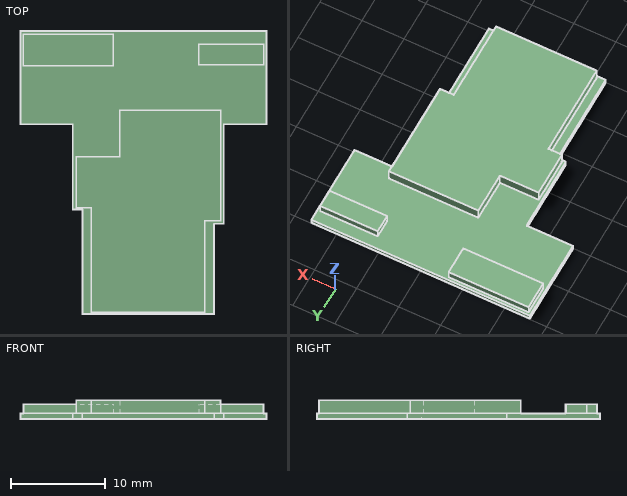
import cadquery as cq

board_length = 29.9
head_width = 26.0
board_thickness = 0.6
head_length = 9.87
waist_inset_left = 5.53
waist_inset_right = 4.5
tail_inset_left = 6.55
tail_inset_right = 5.55
left_shoulder_depth = 18.87
right_shoulder_depth = 20.35

shield_height = 1.4
side_margin = 0.35
tail_margin = 0.95
front_margin = 0.2
left_shoulder_margin = 0.2
right_shoulder_margin = 0.33
shield_back_depth = 8.37
shield_notch_depth = 13.3
shield_notch_side = 10.5

connector_height = 1.0
connector_edge_margin = 0.33
large_connector_width = 9.5
large_connector_length = 3.35
small_connector_width = 6.85
small_connector_length = 2.15
small_connector_depth = 1.4

left = -head_width / 2
right = head_width / 2
back = board_length / 2
front = -board_length / 2

waist_left = left + waist_inset_left
waist_right = right - waist_inset_right
tail_left = left + tail_inset_left
tail_right = right - tail_inset_right
head_front = back - head_length
left_shoulder = back - left_shoulder_depth
right_shoulder = back - right_shoulder_depth


def make_board():
    """Flat stepped board with its underside at Z = 0."""
    outline = [
        (left, back),
        (right, back),
        (right, head_front),
        (waist_right, head_front),
        (waist_right, right_shoulder),
        (tail_right, right_shoulder),
        (tail_right, front),
        (tail_left, front),
        (tail_left, left_shoulder),
        (waist_left, left_shoulder),
        (waist_left, head_front),
        (left, head_front),
    ]
    return cq.Workplane("XY").polyline(outline).close().extrude(board_thickness)


def make_shield():
    """Shield can that follows the board steps, with a notch at its back left corner."""
    shield_left = waist_left + side_margin
    shield_right = waist_right - side_margin
    shield_tail_left = tail_left + tail_margin
    shield_tail_right = tail_right - tail_margin
    shield_back = back - shield_back_depth
    shield_front = front + front_margin
    shield_left_shoulder = left_shoulder + left_shoulder_margin
    shield_right_shoulder = right_shoulder + right_shoulder_margin
    notch_floor = back - shield_notch_depth
    notch_wall = left + shield_notch_side
    outline = [
        (notch_wall, shield_back),
        (shield_right, shield_back),
        (shield_right, shield_right_shoulder),
        (shield_tail_right, shield_right_shoulder),
        (shield_tail_right, shield_front),
        (shield_tail_left, shield_front),
        (shield_tail_left, shield_left_shoulder),
        (shield_left, shield_left_shoulder),
        (shield_left, notch_floor),
        (notch_wall, notch_floor),
    ]
    board_top = cq.Workplane("XY").workplane(offset=board_thickness)
    return board_top.polyline(outline).close().extrude(shield_height)


def make_connector(width, length, left_edge, back_edge):
    """Rectangular connector standing on the board, placed by its back left corner."""
    block = cq.Workplane("XY").box(width, length, connector_height, centered=False)
    return block.translate((left_edge, back_edge - length, board_thickness))


board = make_board()
shield = make_shield()
large_connector = make_connector(
    large_connector_width,
    large_connector_length,
    left + connector_edge_margin,
    back - connector_edge_margin,
)
small_connector = make_connector(
    small_connector_width,
    small_connector_length,
    right - connector_edge_margin - small_connector_width,
    back - small_connector_depth,
)

result = cq.Compound.makeCompound(
    [board.val(), shield.val(), large_connector.val(), small_connector.val()]
)